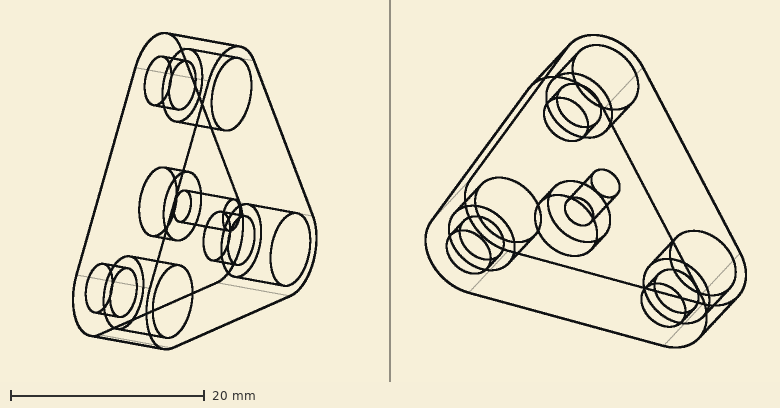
import cadquery as cq
import math

plate_width = 32.52
thickness = 9.0
corner_radius = 5.0
corner_hole_diameter = 5.1
corner_counterbore_diameter = 7.6
center_hole_diameter = 3.3
center_counterbore_diameter = 7.2
step_depth = 3.0

hole_spacing = plate_width - 2 * corner_radius
hole_circle_radius = hole_spacing / math.sqrt(3)
corner_angles = [90, 210, 330]
corner_centers = [
    (
        hole_circle_radius * math.cos(math.radians(angle)),
        hole_circle_radius * math.sin(math.radians(angle)),
    )
    for angle in corner_angles
]


def rounded_triangle_plate():
    """Triangular plate with one corner up and rounded corners."""
    sharp_corner_radius = hole_circle_radius + 2 * corner_radius
    return (
        cq.Workplane("YZ")
        .polygon(3, 2 * sharp_corner_radius)
        .extrude(thickness)
        .rotate((0, 0, 0), (1, 0, 0), corner_angles[0])
        .edges("|X")
        .fillet(corner_radius)
    )


def bore(diameter, center, start, end):
    """Cylinder along X between two distances behind the front face X = 0."""
    return (
        cq.Workplane("YZ", origin=(start, 0, 0))
        .center(*center)
        .circle(diameter / 2)
        .extrude(end - start)
    )


result = rounded_triangle_plate()

for corner_center in corner_centers:
    result = result.cut(bore(corner_hole_diameter, corner_center, 0, thickness))
    result = result.cut(bore(corner_counterbore_diameter, corner_center, step_depth, thickness))

plate_center = (0, 0)
result = result.cut(bore(center_hole_diameter, plate_center, 0, thickness))
result = result.cut(bore(center_counterbore_diameter, plate_center, 0, step_depth))